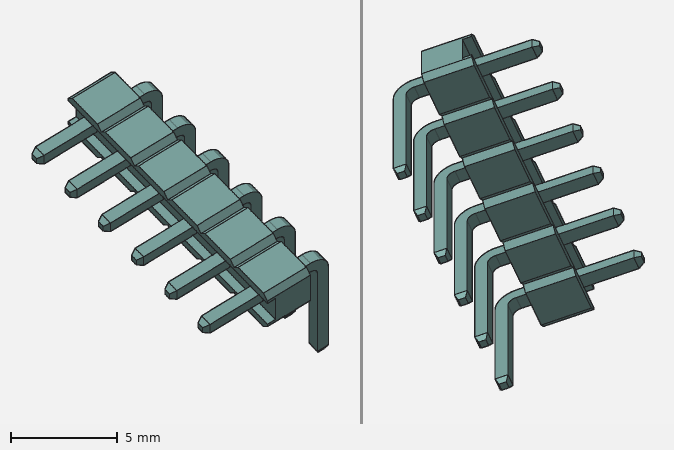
import cadquery as cq


pin_count = 6
housing_length = 15.24
pitch = housing_length / pin_count
housing_size = pitch
notch = 0.3
channel_width = 1.57
channel_depth = 0.47

pin_width = 0.65
tip_length = 0.32
tip_width = 0.37
front_reach = 2.99
overall_depth = 7.33
overall_height = 8.28
bend_inner_radius = 0.41
bend_outer_radius = bend_inner_radius + pin_width

front_tip_y = -housing_size / 2 - front_reach
back_y = front_tip_y + overall_depth
bottom_tip_z = housing_size / 2 - overall_height
tail_y = back_y - pin_width / 2
bend_y = back_y - bend_outer_radius
bend_z = pin_width / 2 - bend_outer_radius


def make_segment(center_x):
    """One pin position: a block with its four long edges cut off."""
    return (
        cq.Workplane("XY")
        .box(pitch, housing_size, housing_size)
        .edges("|Y")
        .chamfer(notch)
        .translate((center_x, 0, 0))
    )


def make_tip(base_plane):
    """Tapered square end growing along the normal of the base plane."""
    return (
        cq.Workplane(base_plane)
        .rect(pin_width, pin_width)
        .workplane(offset=tip_length)
        .rect(tip_width, tip_width)
        .loft(combine=True)
    )


def make_pin():
    """Square pin along Y with a rounded bend down to a tail along -Z."""
    tip_base_y = front_tip_y + tip_length
    tip_base_z = bottom_tip_z + tip_length
    path = (
        cq.Workplane("YZ")
        .moveTo(tip_base_y, 0)
        .lineTo(bend_y, 0)
        .radiusArc((tail_y, bend_z), bend_inner_radius + pin_width / 2)
        .lineTo(tail_y, tip_base_z)
    )
    bar = cq.Workplane("XZ", origin=(0, tip_base_y, 0)).rect(pin_width, pin_width).sweep(path)
    front_base = cq.Plane(origin=(0, tip_base_y, 0), xDir=(1, 0, 0), normal=(0, -1, 0))
    tail_base = cq.Plane(origin=(0, tail_y, tip_base_z), xDir=(1, 0, 0), normal=(0, 0, -1))
    return bar.union(make_tip(front_base)).union(make_tip(tail_base))


pin_centers = [(index - (pin_count - 1) / 2) * pitch for index in range(pin_count)]

housing = make_segment(pin_centers[0])
for center_x in pin_centers[1:]:
    housing = housing.union(make_segment(center_x))

channel = cq.Workplane("XY").box(housing_length, channel_depth, channel_width)
housing = housing.cut(channel.translate((0, (channel_depth - housing_size) / 2, 0)))

pin = make_pin()
result = housing
for center_x in pin_centers:
    result = result.union(pin.translate((center_x, 0, 0)))
result = result.clean()